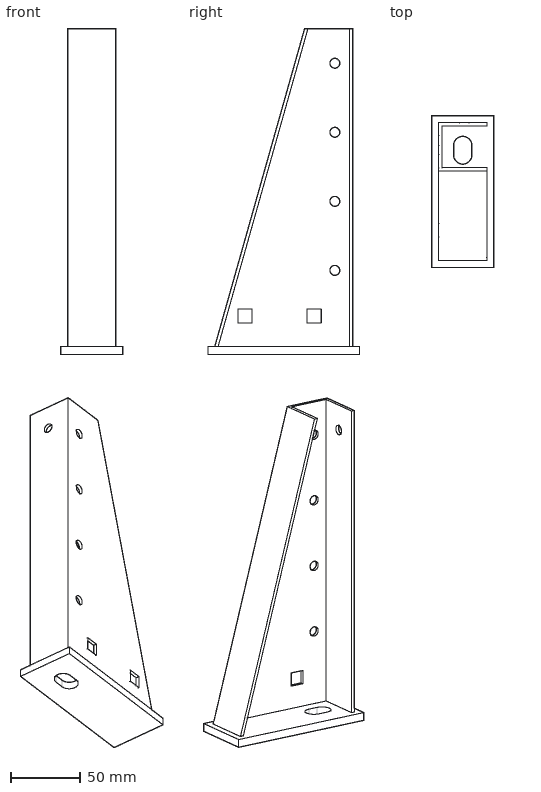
import cadquery as cq

PLATE_X = 45.0
PLATE_Y = 110.0
PLATE_THICKNESS = 6.0

TOTAL_HEIGHT = 236.0
CHANNEL_WIDTH = 35.0
CHANNEL_BOTTOM_DEPTH = 100.0
CHANNEL_TOP_DEPTH = 35.0
WALL = 2.5
BACK_Y = 50.0

ROUND_HOLE_DIAMETER = 7.0
ROUND_HOLE_COUNT = 4
ROUND_HOLE_PITCH = 50.0
TOP_HOLE_DROP = 25.0
ROUND_HOLE_FROM_BACK = 13.0

FLANGE_HOLE_X = 1.0
FLANGE_HOLE_DROP = 19.0

SQUARE_SIDE = 10.0
SQUARE_Z = 28.0
SQUARE_PITCH = 50.0
BACK_SQUARE_FROM_BACK = 28.0

SLOT_WIDTH = 13.0
SLOT_LENGTH = 20.0
SLOT_Y = 30.0

WEB_OUTER_X = -CHANNEL_WIDTH / 2
WEB_INNER_X = WEB_OUTER_X + WALL
OPEN_SIDE_X = CHANNEL_WIDTH / 2
BOTTOM_FRONT_Y = BACK_Y - CHANNEL_BOTTOM_DEPTH
TOP_FRONT_Y = BACK_Y - CHANNEL_TOP_DEPTH


def side_prism(back_y, bottom_front_y, top_front_y, start_x, end_x):
    """Tapered outline in the YZ plane, extruded along X."""
    outline = [
        (back_y, PLATE_THICKNESS),
        (back_y, TOTAL_HEIGHT),
        (top_front_y, TOTAL_HEIGHT),
        (bottom_front_y, PLATE_THICKNESS),
    ]
    sketch = cq.Workplane("YZ", origin=(start_x, 0, 0)).polyline(outline).close()
    return sketch.extrude(end_x - start_x)


def make_plate():
    plate = cq.Workplane("XY").box(PLATE_X, PLATE_Y, PLATE_THICKNESS, centered=(True, True, False))
    slot = (
        cq.Workplane("XY")
        .center(0, SLOT_Y)
        .slot2D(SLOT_LENGTH, SLOT_WIDTH, angle=90)
        .extrude(PLATE_THICKNESS)
    )
    return plate.cut(slot)


def make_channel():
    """Channel open at +X; WALL is measured along Y in the flanges, also in the sloping one."""
    outer = side_prism(BACK_Y, BOTTOM_FRONT_Y, TOP_FRONT_Y, WEB_OUTER_X, OPEN_SIDE_X)
    inner = side_prism(
        BACK_Y - WALL,
        BOTTOM_FRONT_Y + WALL,
        TOP_FRONT_Y + WALL,
        WEB_INNER_X,
        OPEN_SIDE_X,
    )
    return outer.cut(inner)


def make_web_holes():
    """Cutters for the round and square holes, passing through the web only."""
    round_y = BACK_Y - ROUND_HOLE_FROM_BACK
    top_hole_z = TOTAL_HEIGHT - TOP_HOLE_DROP
    round_places = [(round_y, top_hole_z - i * ROUND_HOLE_PITCH) for i in range(ROUND_HOLE_COUNT)]
    back_square_y = BACK_Y - BACK_SQUARE_FROM_BACK
    square_places = [(back_square_y, SQUARE_Z), (back_square_y - SQUARE_PITCH, SQUARE_Z)]

    web_face = cq.Workplane("YZ", origin=(WEB_OUTER_X, 0, 0))
    rounds = web_face.pushPoints(round_places).circle(ROUND_HOLE_DIAMETER / 2).extrude(WALL)
    squares = web_face.pushPoints(square_places).rect(SQUARE_SIDE, SQUARE_SIDE).extrude(WALL)
    return rounds.union(squares)


def make_flange_hole():
    """Cutter for the single round hole, passing through the back flange only."""
    return (
        cq.Workplane("XZ", origin=(0, BACK_Y, 0))
        .center(FLANGE_HOLE_X, TOTAL_HEIGHT - FLANGE_HOLE_DROP)
        .circle(ROUND_HOLE_DIAMETER / 2)
        .extrude(WALL)
    )


result = make_plate().union(make_channel()).cut(make_web_holes()).cut(make_flange_hole())